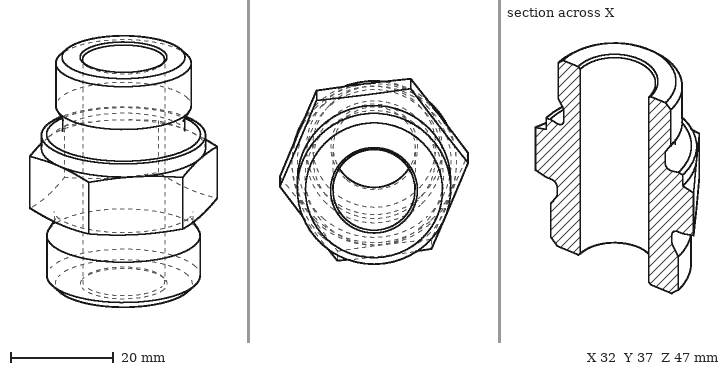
import cadquery as cq
import math

height = 47.0
bore_diameter = 16.0
bore_chamfer = 0.45

hex_across_flats = 32.0
hex_bottom_z = 16.05
hex_top_z = 28.05
hex_chamfer_angle = 15.0
flange_edge_z = 30.8
rim_diameter = 30.0
rim_z = 30.95
dish_angle = 12.0

upper_diameter = 26.4
upper_neck_diameter = 23.8
upper_shoulder_z = 36.9
upper_chamfer = 1.2
lower_diameter = 29.9
lower_neck_diameter = 27.0
lower_shoulder_z = 9.95
lower_chamfer = 1.6
runout_angle = 30.0
neck_radius = 1.25

flange_radius = hex_across_flats / 2
rim_radius = rim_diameter / 2
upper_radius = upper_diameter / 2
upper_neck = upper_neck_diameter / 2
lower_radius = lower_diameter / 2
lower_neck = lower_neck_diameter / 2


def neck_arc_point(neck, tangent_z, side, turn):
    """Point on a neck fillet after turning outward by `turn` degrees; side is +1 upward, -1 downward."""
    angle = math.radians(turn)
    radius = neck + neck_radius * (1 - math.cos(angle))
    return radius, tangent_z + side * neck_radius * math.sin(angle)


def runout_tangent_offset(thread_radius, neck):
    """Axial distance from the thread shoulder to where its run-out fillet meets the neck."""
    cone_length = (thread_radius - neck) / math.tan(math.radians(runout_angle))
    return cone_length + neck_radius * math.tan(math.radians(runout_angle / 2))


def make_turned_body():
    upper_runout_z = upper_shoulder_z - runout_tangent_offset(upper_radius, upper_neck)
    lower_runout_z = lower_shoulder_z + runout_tangent_offset(lower_radius, lower_neck)

    dish_turn = 90 + dish_angle
    dish_rad = math.radians(dish_angle)
    dish_radius, dish_drop = neck_arc_point(upper_neck, 0, -1, dish_turn)
    dish_z = rim_z - (rim_radius - dish_radius) * math.tan(dish_rad)
    flange_fillet_z = dish_z - dish_drop

    hex_fillet_z = hex_bottom_z - neck_radius

    profile = (
        cq.Workplane("XZ")
        .moveTo(0, 0)
        .lineTo(lower_radius - lower_chamfer, 0)
        .lineTo(lower_radius, lower_chamfer)
        .lineTo(lower_radius, lower_shoulder_z)
        .lineTo(*neck_arc_point(lower_neck, lower_runout_z, -1, runout_angle))
        .threePointArc(
            neck_arc_point(lower_neck, lower_runout_z, -1, runout_angle / 2),
            (lower_neck, lower_runout_z),
        )
        .lineTo(lower_neck, hex_fillet_z)
        .threePointArc(
            neck_arc_point(lower_neck, hex_fillet_z, 1, 45),
            neck_arc_point(lower_neck, hex_fillet_z, 1, 90),
        )
        .lineTo(flange_radius, hex_bottom_z)
        .lineTo(flange_radius, flange_edge_z)
        .lineTo(rim_radius, rim_z)
        .lineTo(dish_radius, dish_z)
        .threePointArc(
            neck_arc_point(upper_neck, flange_fillet_z, -1, dish_turn / 2),
            (upper_neck, flange_fillet_z),
        )
        .lineTo(upper_neck, upper_runout_z)
        .threePointArc(
            neck_arc_point(upper_neck, upper_runout_z, 1, runout_angle / 2),
            neck_arc_point(upper_neck, upper_runout_z, 1, runout_angle),
        )
        .lineTo(upper_radius, upper_shoulder_z)
        .lineTo(upper_radius, height - upper_chamfer)
        .lineTo(upper_radius - upper_chamfer, height)
        .lineTo(0, height)
        .close()
    )
    return profile.revolve(360, (0, 0), (0, 1))


def make_hexagon():
    """Hexagon with corners on the Y axis and conical chamfers on both ends."""
    corner_radius = flange_radius / math.cos(math.radians(30))
    prism = (
        cq.Workplane("XY")
        .workplane(offset=hex_bottom_z)
        .polygon(6, 2 * corner_radius)
        .extrude(hex_top_z - hex_bottom_z)
        .rotate((0, 0, 0), (0, 0, 1), 90)
    )
    outer_radius = corner_radius * math.sqrt(2)
    chamfer_height = (outer_radius - flange_radius) * math.tan(math.radians(hex_chamfer_angle))
    envelope = (
        cq.Workplane("XZ")
        .moveTo(0, hex_bottom_z)
        .lineTo(flange_radius, hex_bottom_z)
        .lineTo(outer_radius, hex_bottom_z + chamfer_height)
        .lineTo(outer_radius, hex_top_z - chamfer_height)
        .lineTo(flange_radius, hex_top_z)
        .lineTo(0, hex_top_z)
        .close()
        .revolve(360, (0, 0), (0, 1))
    )
    return prism.intersect(envelope)


def make_bore():
    """Through bore, chamfered at both mouths."""
    bore_radius = bore_diameter / 2
    mouth_radius = bore_radius + bore_chamfer
    return (
        cq.Workplane("XZ")
        .moveTo(0, 0)
        .lineTo(mouth_radius, 0)
        .lineTo(bore_radius, bore_chamfer)
        .lineTo(bore_radius, height - bore_chamfer)
        .lineTo(mouth_radius, height)
        .lineTo(0, height)
        .close()
        .revolve(360, (0, 0), (0, 1))
    )


result = make_turned_body().union(make_hexagon()).cut(make_bore())